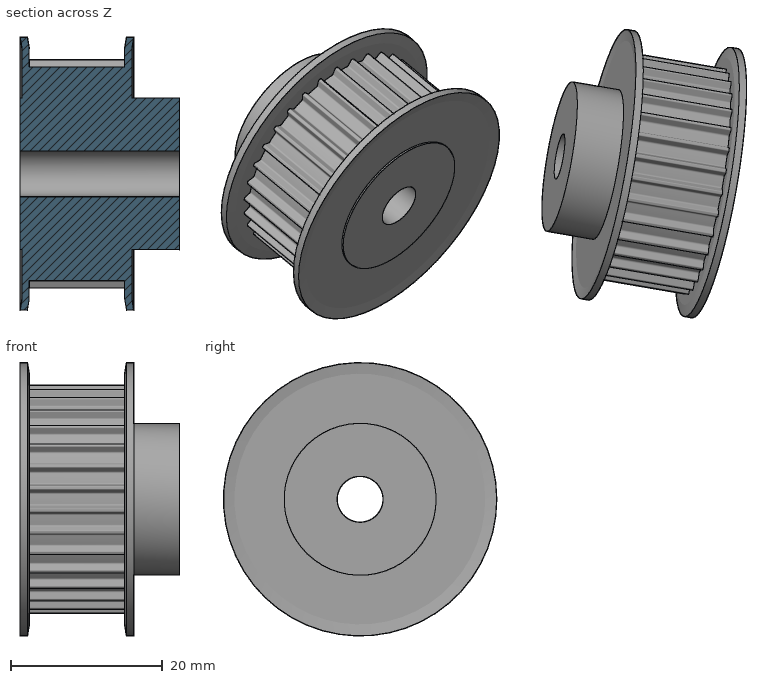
import cadquery as cq
import math

overall_length = 21.0
pulley_width = 15.0
hub_diameter = 20.0
bore_diameter = 6.0

flange_diameter = 36.0
flange_flat_diameter = 33.0
flange_thickness = 1.0
rim_bend = 0.25

tooth_count = 32
tip_radius = 15.09
tooth_depth = 1.0
root_radius = tip_radius - tooth_depth
tip_half_width = 0.22
groove_half_angle = 25.0
tip_fillet = 0.15
root_fillet = 0.25

pitch_angle = 360.0 / tooth_count
flank_angle = groove_half_angle - pitch_angle / 2
track_start = rim_bend + flange_thickness
track_end = pulley_width - track_start
track_width = track_end - track_start

radius_tolerance = 0.01
seam_tolerance = 0.05


def disc(diameter, start, end):
    """Solid cylinder along X between two stations."""
    return cq.Workplane("YZ", origin=(start, 0, 0)).circle(diameter / 2).extrude(end - start)


def flange():
    """Dished disc on the -X side: the rim leans outward to X = 0."""
    flat_radius = flange_flat_diameter / 2
    rim_radius = flange_diameter / 2
    section = [
        (rim_bend, 0),
        (rim_bend, flat_radius),
        (0, rim_radius),
        (flange_thickness, rim_radius),
        (rim_bend + flange_thickness, flat_radius),
        (rim_bend + flange_thickness, 0),
    ]
    return cq.Workplane("XY").polyline(section).close().revolve(360, (0, 0, 0), (1, 0, 0))


def edges_at_radius(body, radius):
    """Edges parallel to X at the given radius, without the seam line left in the middle of a groove."""

    def belongs(edge):
        middle = edge.Center()
        groove_index = math.degrees(math.atan2(middle.z, middle.y)) / pitch_angle
        off_groove_centre = abs(groove_index - round(groove_index)) > seam_tolerance
        return off_groove_centre and abs(math.hypot(middle.y, middle.z) - radius) < radius_tolerance

    return body.edges("|X").filter(belongs)


def tooth():
    """One tooth with a rounded tip pointing along +Z, its foot sunk into the root cylinder."""
    foot_radius = root_radius - tooth_depth / 2
    slope = math.tan(math.radians(flank_angle))
    foot_half_width = tip_half_width + (tip_radius - foot_radius) * slope
    tip_corner_height = math.sqrt(tip_radius**2 - tip_half_width**2)
    blank = (
        cq.Workplane("YZ", origin=(track_start, 0, 0))
        .moveTo(-foot_half_width, foot_radius)
        .lineTo(-tip_half_width, tip_corner_height)
        .threePointArc((0, tip_radius), (tip_half_width, tip_corner_height))
        .lineTo(foot_half_width, foot_radius)
        .close()
        .extrude(track_width)
    )
    return edges_at_radius(blank, tip_radius).fillet(tip_fillet)


def belt_track():
    """Root cylinder with evenly spaced teeth, a groove centred on each of the Y and Z axes."""
    root_cylinder = disc(2 * root_radius, track_start, track_end)
    first_tooth = tooth()
    teeth = [
        first_tooth.rotate((0, 0, 0), (1, 0, 0), (index + 0.5) * pitch_angle).val()
        for index in range(tooth_count)
    ]
    track = cq.Workplane(root_cylinder.val().fuse(*teeth))
    return edges_at_radius(track, root_radius).fillet(root_fillet)


near_flange = flange()
far_flange = near_flange.mirror("YZ").translate((pulley_width, 0, 0))
hub = disc(hub_diameter, 0, overall_length)
bore = disc(bore_diameter, 0, overall_length)

result = belt_track().union(near_flange).union(far_flange).union(hub).cut(bore)